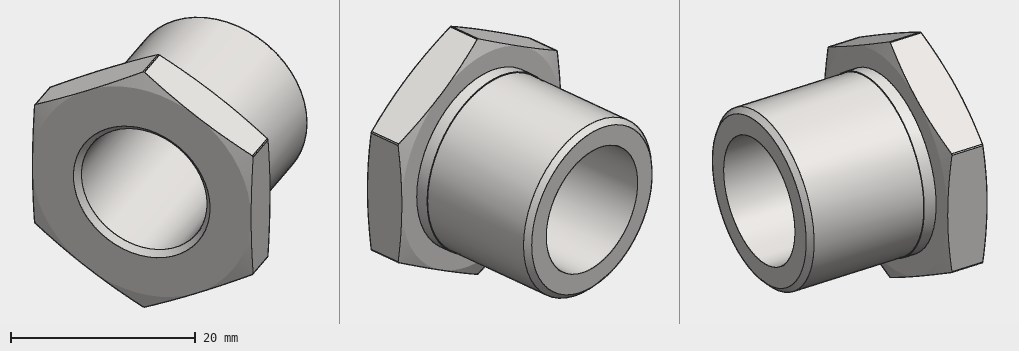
import cadquery as cq
import math

across_flats = 26.0
corner_diameter = 29.93
head_length = 5.0
head_chamfer_depth = 0.55
hexagon_diameter = across_flats / math.cos(math.radians(30))

total_length = 21.0
collar_diameter = 21.15
collar_length = 1.5
sleeve_diameter = 20.95
sleeve_chamfer = 0.63

bore_diameter = 14.95
bore_chamfer = 0.65


def revolve_about_y(points):
    """Revolve a closed (radius, Y) outline about the Y axis."""
    return cq.Workplane("XY").polyline(points).close().revolve(360, (0, 0), (0, 1))


def make_head():
    """Hexagon with corners on +Z and -Z, turned down to cones at both faces."""
    prism = (
        cq.Workplane("XZ")
        .transformed(rotate=(0, 0, 90))
        .polygon(6, hexagon_diameter)
        .extrude(-head_length)
    )
    face_radius = across_flats / 2
    corner_radius = corner_diameter / 2
    turned_envelope = revolve_about_y([
        (0, 0),
        (face_radius, 0),
        (corner_radius, head_chamfer_depth),
        (corner_radius, head_length - head_chamfer_depth),
        (face_radius, head_length),
        (0, head_length),
    ])
    return prism.intersect(turned_envelope)


def make_sleeve():
    """Short collar and plain sleeve with a chamfered free end."""
    collar_radius = collar_diameter / 2
    sleeve_radius = sleeve_diameter / 2
    collar_end = head_length + collar_length
    return revolve_about_y([
        (0, 0),
        (collar_radius, 0),
        (collar_radius, collar_end),
        (sleeve_radius, collar_end),
        (sleeve_radius, total_length - sleeve_chamfer),
        (sleeve_radius - sleeve_chamfer, total_length),
        (0, total_length),
    ])


def make_bore():
    """Through bore, chamfered at the head face."""
    bore_radius = bore_diameter / 2
    return revolve_about_y([
        (0, 0),
        (bore_radius + bore_chamfer, 0),
        (bore_radius, bore_chamfer),
        (bore_radius, total_length),
        (0, total_length),
    ])


result = make_head().union(make_sleeve()).cut(make_bore())